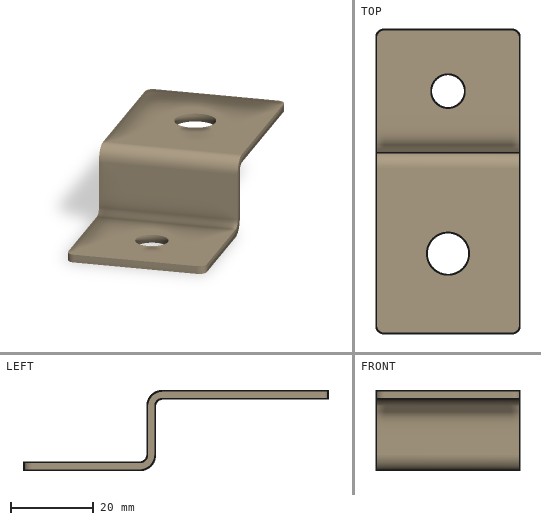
import cadquery as cq

width = 35.0
length = 74.0
height = 19.4

thickness = 2.0
inner_radius = 1.8
outer_radius = inner_radius + thickness
web_front = 5.0
web_back = web_front + thickness

corner_radius = 2.0
upper_hole_diameter = 10.2
upper_hole_y = -17.55
lower_hole_diameter = 8.15
lower_hole_y = 22.0

half_length = length / 2


def bent_sheet():
    """Z-shaped sheet with sharp bends, extruded across the width and then rounded."""
    profile = (
        cq.Workplane("YZ")
        .moveTo(half_length, 0)
        .lineTo(web_front, 0)
        .lineTo(web_front, height - thickness)
        .lineTo(-half_length, height - thickness)
        .lineTo(-half_length, height)
        .lineTo(web_back, height)
        .lineTo(web_back, thickness)
        .lineTo(half_length, thickness)
        .close()
    )
    sheet = profile.extrude(width / 2, both=True)
    inner_bends = [(web_front, height - thickness), (web_back, thickness)]
    outer_bends = [(web_front, 0), (web_back, height)]
    for bends, radius in ((inner_bends, inner_radius), (outer_bends, outer_radius)):
        for y, z in bends:
            sheet = sheet.edges(cq.NearestToPointSelector((0, y, z))).fillet(radius)
    return sheet


def through_hole(diameter, y):
    """Vertical cutter spanning the full height of the bracket."""
    return cq.Workplane("XY").center(0, y).circle(diameter / 2).extrude(height)


result = bent_sheet().faces("<Y or >Y").edges("|Z").fillet(corner_radius)
result = result.cut(through_hole(upper_hole_diameter, upper_hole_y))
result = result.cut(through_hole(lower_hole_diameter, lower_hole_y))